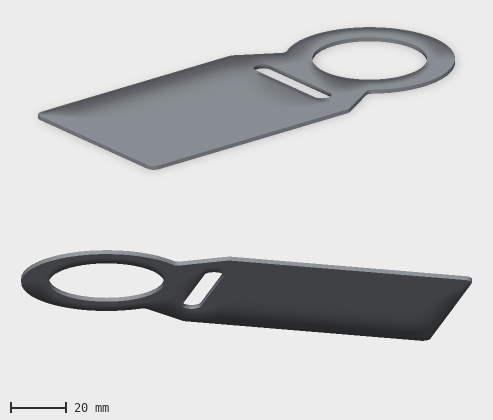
import cadquery as cq
import math

length = 157.3
width = 67.0
thickness = 1.5

ring_radius = 30.5
hole_diameter = 41.0
ring_y = length - ring_radius

shoulder_y = 90.1
neck_half_width = 23.3
neck_y = ring_y - math.sqrt(ring_radius**2 - neck_half_width**2)

slot_length = 40.3
slot_width = 6.9
slot_y = 91.4

corner_radius = 3.0
neck_radius = 2.0


def corner_selector(y):
    """Select the vertical edges of the outline at height y along the plate."""
    margin = 0.2
    return cq.selectors.BoxSelector(
        (-width, y - margin, -thickness),
        (width, y + margin, 2 * thickness),
    )


half_width = width / 2
plate = (
    cq.Workplane("XY")
    .moveTo(-half_width, 0)
    .lineTo(half_width, 0)
    .lineTo(half_width, shoulder_y)
    .lineTo(neck_half_width, neck_y)
    .threePointArc((0, length), (-neck_half_width, neck_y))
    .lineTo(-half_width, shoulder_y)
    .close()
    .extrude(thickness)
)

for corner_y, radius in ((0, corner_radius), (shoulder_y, corner_radius), (neck_y, neck_radius)):
    plate = plate.edges("|Z").edges(corner_selector(corner_y)).fillet(radius)

ring_hole = cq.Workplane("XY").center(0, ring_y).circle(hole_diameter / 2).extrude(thickness)
strap_slot = cq.Workplane("XY").center(0, slot_y).slot2D(slot_length, slot_width).extrude(thickness)

result = plate.cut(ring_hole).cut(strap_slot)